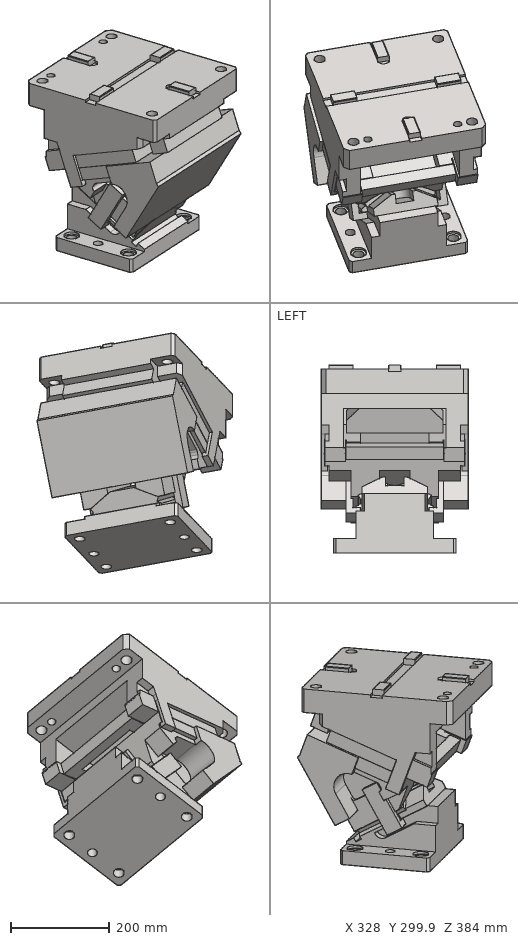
import cadquery as cq
import math


TOTAL_LENGTH = 328.0
TOTAL_HEIGHT = 384.0
PLATE_LENGTH = 320.3
HALF_WIDTH = 149.95

SLIDE_ANGLE = math.radians(20)
SLIDE_ORIGIN = (98.5, 203.0)
RAIL_ANGLE = math.radians(30)
RAIL_ORIGIN = (76.8, 121.7)

KEY_HEIGHT = 8.0
KEY_DEPTH = 5.0
KEY_WIDTH = 25.0
KEY_LENGTH = 49.5
KEY_CHAMFER = 1.5
KEY_INSET_X = 10.8
KEY_INSET_Y = 15.5
KEYWAY_LENGTH = 73.5
PLATE_TOP = TOTAL_HEIGHT - KEY_HEIGHT
PLATE_THICKNESS = 50.3
PLATE_BOTTOM = PLATE_TOP - PLATE_THICKNESS
FRONT_CORNER_CHAMFER = 10.0
REAR_CORNER_CHAMFER = 6.0
PLATE_HOLE_DIAMETER = 22.3
PLATE_HOLE_INSET = 25.0
DOWEL_DIAMETER = 16.5
DOWEL_Y = 95.0

CHEEK_LEFT = 45.7
CHEEK_RIGHT = 283.8
CHEEK_CHAMFER = 9.2
CAVITY_HALF_WIDTH = 104.5
CAVITY_TOP = 295.0
CAVITY_BACK = 172.8
GUIDE_THICKNESS = 30.0
GUIDE_HALF_WIDTH = 143.2
GUIDE_LENGTH = 180.5
GUIDE_SLOT_HALF_WIDTH = 70.0
GUIDE_SLOT_END = 42.0
GUIDE_NOSE_LENGTH = 12.3
CROSS_BLOCK_START = 40.7
CROSS_BLOCK_HALF_WIDTH = 98.5
CROSS_BLOCK_SIDE = 27.0
CROSS_BLOCK_CHAMFER = 27.0
CROSS_BAR_HALF_WIDTH = 99.5
CROSS_BAR_START = 36.5
CROSS_BAR_HEIGHT = 27.5
STOP_INNER = 100.5
STOP_OUTER = 142.5
STOP_LENGTH = 48.0
STOP_HEIGHT = 42.2
STOP_STEP_Z = 215.5
NOTCH_INNER = 134.0
NOTCH_TOP = 261.0
FINGER_INNER = 143.5
FINGER_LENGTH = 30.7
FINGER_TOP = 63.0
FINGER_BOTTOM = -37.5
LIP_INNER = 137.0
REAR_STOP_START = 192.8
REAR_STOP_END = 230.8

FLANGE_HALF_WIDTH = 142.5
FLANGE_THICKNESS = 27.0
SHOULDER_HALF_WIDTH = 134.0
CORE_HALF_WIDTH = 89.5
SLIDE_LENGTH = 221.5
SLIDE_END_HEIGHT = 47.2
RELIEF_DEPTH = 76.8
WING_START = 106.5
WING_END = 164.0
WING_BOTTOM = 58.0
CORE_END = 158.2
CORE_BOTTOM = 21.5
CHANNEL_HALF_WIDTH = 31.0
OPENING_START = 49.5
OPENING_END = 128.5
POCKET_START = 41.0
POCKET_BOTTOM = 78.7
POCKET_TOP = -39.0
POCKET_DEPTH = 9.5
POCKET_RADIUS = 30.5
POCKET_CORNER_RADIUS = 7.5
HOOK_START = 58.0
HOOK_END = 94.0
HOOK_TOP = 93.5
HOOK_BOTTOM = -13.0
HOOK_OUTER = 100.0
HOOK_INNER = 85.5
HOOK_LIP_INNER = 70.0

BASE_LEFT = 55.0
BASE_LENGTH = 190.0
BASE_RIGHT = BASE_LEFT + BASE_LENGTH
BASE_HALF_WIDTH = 125.0
BASE_THICKNESS = 30.0
BASE_CHAMFER = 5.5
BASE_HOLE_INSET = 25.0
BASE_BOLT_DIAMETER = 22.0
BASE_BORE_DIAMETER = 32.0
BASE_BORE_DEPTH = 5.0
BASE_DOWEL_DIAMETER = 20.0
BASE_DOWEL_X = 145.0
BODY_HALF_WIDTH = 79.0
NECK_HALF_WIDTH = 61.5
LEDGE_Z = 86.0
GROOVE_DEPTH = 19.2
GROOVE_END = 124.8
GROOVE_RADIUS = 16.5
RAIL_END = 157.5
RAIL_HALF_WIDTH = 67.2
RAIL_SIDE = 15.5
RAIL_TOP = 38.5
RAIL_FLAT_HALF_WIDTH = 26.5
RAIL_SLOT_WIDTH = 37.0
RAIL_SLOT_FLOOR = 18.5
RAIL_SLOT_LENGTH = 50.5
LINER_START = 43.5
LINER_RISE = 10.0
LINER_HALF_WIDTH = 75.0
V_ROOT_HALF_WIDTH = 70.3
V_ROOT_HEIGHT = 12.3
V_FOOT_HEIGHT = 6.5
V_FOOT_START = 63.5
NOTCH_LENGTH = 13.0
RIDGE_HEIGHT = 9.2


def on_slide(s, p):
    """XZ point at s along and p above the slide plane."""
    c, n = math.cos(SLIDE_ANGLE), math.sin(SLIDE_ANGLE)
    return SLIDE_ORIGIN[0] + s * c - p * n, SLIDE_ORIGIN[1] + s * n + p * c


def on_rail(t, h):
    """XZ point at t down the rail and h above its underside."""
    c, n = math.cos(RAIL_ANGLE), math.sin(RAIL_ANGLE)
    return RAIL_ORIGIN[0] + t * c + h * n, RAIL_ORIGIN[1] - t * n + h * c


def front_at_height(h):
    """XZ point where the front face of the slide (s = 0) is h above the rail underside."""
    run = SLIDE_ORIGIN[0] - RAIL_ORIGIN[0]
    rise = SLIDE_ORIGIN[1] - RAIL_ORIGIN[1]
    start = run * math.sin(RAIL_ANGLE) + rise * math.cos(RAIL_ANGLE)
    return on_slide(0, (h - start) / math.cos(SLIDE_ANGLE + RAIL_ANGLE))


def plane_height_at(x, p):
    """Z at the given X on the plane p above the slide plane."""
    x0, z0 = on_slide(0, p)
    return z0 + (x - x0) * math.tan(SLIDE_ANGLE)


def crossing(p, t):
    """XZ point where the plane p above the slide plane meets the plane t down the rail."""
    x0, z0 = on_rail(t, 0)
    rise = plane_height_at(x0, p) - z0
    slope = math.cos(RAIL_ANGLE) - math.sin(RAIL_ANGLE) * math.tan(SLIDE_ANGLE)
    return on_rail(t, rise / slope)


def prism(points, half_width):
    """XZ outline made symmetric about Y = 0."""
    return cq.Workplane("XZ").polyline(points).close().extrude(half_width, both=True)


def side_prisms(points, inner, outer):
    """XZ outline between two distances from Y = 0, on both sides."""
    side = cq.Workplane("XZ", origin=(0, -inner, 0)).polyline(points).close().extrude(outer - inner)
    return side.union(side.mirror("XZ"))


def slide_box(s0, s1, p0, p1):
    return [on_slide(s0, p0), on_slide(s1, p0), on_slide(s1, p1), on_slide(s0, p1)]


def rail_box(t0, t1, h0, h1):
    return [on_rail(t0, h0), on_rail(t1, h0), on_rail(t1, h1), on_rail(t0, h1)]


def rail_section(half_points, t0, t1):
    """Mirrored (y, h) section drawn square to the rail and run from t0 to t1."""
    x, z = on_rail(t0, 0)
    along = (math.cos(RAIL_ANGLE), 0, -math.sin(RAIL_ANGLE))
    plane = cq.Plane(origin=(x, 0, z), xDir=(0, 1, 0), normal=along)
    points = half_points + [(-y, h) for y, h in reversed(half_points)]
    return cq.Workplane(plane).polyline(points).close().extrude(t1 - t0)


def middle_slab(half_width):
    """Everything within half_width of Y = 0, over the full length and height of the unit."""
    size = (TOTAL_LENGTH, 2 * half_width, TOTAL_HEIGHT)
    return cq.Workplane("XY").box(*size, centered=(False, True, False))


def near(point):
    """Selects the edge nearest to an XZ point."""
    return cq.selectors.NearestToPointSelector((point[0], 0, point[1]))


def key(center_x, center_y, turned):
    size = (KEY_LENGTH, KEY_WIDTH, KEY_HEIGHT + KEY_DEPTH)
    body = cq.Workplane("XY").box(*size, centered=(True, True, False))
    body = body.faces(">Z").edges("|X").chamfer(KEY_CHAMFER)
    if turned:
        body = body.rotate((0, 0, 0), (0, 0, 1), 90)
    return body.translate((center_x, center_y, PLATE_TOP - KEY_DEPTH))


def plate():
    middle = PLATE_LENGTH / 2
    size = (PLATE_LENGTH, 2 * HALF_WIDTH, PLATE_THICKNESS)
    body = cq.Workplane("XY").box(*size, centered=(False, True, False)).translate((0, 0, PLATE_BOTTOM))
    body = body.edges("|Z and <X").chamfer(FRONT_CORNER_CHAMFER)
    body = body.edges("|Z and >X").chamfer(REAR_CORNER_CHAMFER)

    top = cq.Workplane("XY", origin=(0, 0, PLATE_TOP))
    body = body.cut(top.center(middle, 0).rect(KEY_WIDTH, 2 * HALF_WIDTH).extrude(-KEY_DEPTH))
    for x in (0, PLATE_LENGTH):
        body = body.cut(top.center(x, 0).slot2D(2 * KEYWAY_LENGTH, KEY_WIDTH).extrude(-KEY_DEPTH))
    for side in (-1, 1):
        key_x = middle + side * (middle - KEY_INSET_X - KEY_LENGTH / 2)
        key_y = side * (HALF_WIDTH - KEY_INSET_Y - KEY_LENGTH / 2)
        body = body.union(key(key_x, 0, False)).union(key(middle, key_y, True))
    return body


def plate_holes():
    drill = cq.Workplane("XY", origin=(0, 0, PLATE_TOP))
    hole_y = HALF_WIDTH - PLATE_HOLE_INSET
    corners = [
        (x, y) for x in (PLATE_HOLE_INSET, PLATE_LENGTH - PLATE_HOLE_INSET) for y in (-hole_y, hole_y)
    ]
    dowels = [(PLATE_HOLE_INSET, -DOWEL_Y), (PLATE_HOLE_INSET, DOWEL_Y)]
    bolts = drill.pushPoints(corners).circle(PLATE_HOLE_DIAMETER / 2).extrude(-PLATE_THICKNESS)
    return bolts.union(drill.pushPoints(dowels).circle(DOWEL_DIAMETER / 2).extrude(-PLATE_THICKNESS))


def cheeks():
    outline = [
        (CHEEK_LEFT, PLATE_BOTTOM),
        (CHEEK_RIGHT, PLATE_BOTTOM),
        (CHEEK_RIGHT, plane_height_at(CHEEK_RIGHT, GUIDE_THICKNESS)),
        on_slide(0, GUIDE_THICKNESS),
        on_slide(0, STOP_HEIGHT),
        (CHEEK_LEFT, plane_height_at(CHEEK_LEFT, STOP_HEIGHT)),
    ]
    body = prism(outline, HALF_WIDTH).edges("|Z and >X").chamfer(CHEEK_CHAMFER)
    notch = [
        (0, NOTCH_TOP),
        (on_slide(0, FINGER_TOP)[0], NOTCH_TOP),
        on_slide(0, STOP_HEIGHT),
        on_slide(0, 0),
        (0, 0),
    ]
    return body.cut(side_prisms(notch, NOTCH_INNER, HALF_WIDTH))


def cavity():
    """Window between the cheeks, open at the front, with a floor parallel to the slide plane."""
    outline = [
        (0, plane_height_at(0, GUIDE_THICKNESS)),
        (CAVITY_BACK, plane_height_at(CAVITY_BACK, GUIDE_THICKNESS)),
        (CAVITY_BACK, CAVITY_TOP),
        (0, CAVITY_TOP),
    ]
    return prism(outline, CAVITY_HALF_WIDTH)


def guide_plates():
    body = prism(slide_box(0, GUIDE_LENGTH, 0, GUIDE_THICKNESS), GUIDE_HALF_WIDTH)
    nose = slide_box(-GUIDE_NOSE_LENGTH, 0, 0, GUIDE_THICKNESS)
    slot = slide_box(-GUIDE_NOSE_LENGTH, GUIDE_SLOT_END, 0, GUIDE_THICKNESS)
    return body.union(prism(nose, CROSS_BLOCK_HALF_WIDTH)).cut(prism(slot, GUIDE_SLOT_HALF_WIDTH))


def cross_block():
    """Block above the guide plates, with its upper corners cut at 45 degrees."""
    x, z = on_slide(CROSS_BLOCK_START, GUIDE_THICKNESS)
    along = (math.cos(SLIDE_ANGLE), 0, math.sin(SLIDE_ANGLE))
    plane = cq.Plane(origin=(x, 0, z), xDir=(0, 1, 0), normal=along)
    height = CROSS_BLOCK_SIDE + CROSS_BLOCK_CHAMFER
    half = [
        (CROSS_BLOCK_HALF_WIDTH, 0),
        (CROSS_BLOCK_HALF_WIDTH, CROSS_BLOCK_SIDE),
        (CROSS_BLOCK_HALF_WIDTH - CROSS_BLOCK_CHAMFER, height),
    ]
    points = half + [(-y, p) for y, p in reversed(half)]
    return cq.Workplane(plane).polyline(points).close().extrude(GUIDE_LENGTH - CROSS_BLOCK_START)


def front_stops():
    front_x, front_z = on_slide(-STOP_LENGTH, 0)
    step_x = front_x - (STOP_STEP_Z - front_z) * math.tan(SLIDE_ANGLE)
    outline = [
        (front_x, front_z),
        on_slide(0, 0),
        on_slide(0, STOP_HEIGHT),
        (CHEEK_LEFT, plane_height_at(CHEEK_LEFT, STOP_HEIGHT)),
        (CHEEK_LEFT, STOP_STEP_Z),
        (step_x, STOP_STEP_Z),
    ]
    return side_prisms(outline, STOP_INNER, STOP_OUTER)


def cross_bar():
    outline = slide_box(-CROSS_BAR_START, -GUIDE_NOSE_LENGTH, 0, CROSS_BAR_HEIGHT)
    return prism(outline, CROSS_BAR_HALF_WIDTH)


def fingers():
    """Outer fingers whose lips reach under the flanges of the slide."""
    arm = side_prisms(slide_box(0, FINGER_LENGTH, FINGER_BOTTOM, FINGER_TOP), FINGER_INNER, HALF_WIDTH)
    lip = side_prisms(slide_box(0, FINGER_LENGTH, FINGER_BOTTOM, -FLANGE_THICKNESS), LIP_INNER, HALF_WIDTH)
    return arm.union(lip)


def rear_stop():
    stop = prism(slide_box(REAR_STOP_START, REAR_STOP_END, 0, GUIDE_THICKNESS), CROSS_BLOCK_HALF_WIDTH)
    wall_outline = [
        (CHEEK_RIGHT, PLATE_BOTTOM),
        (CHEEK_RIGHT, plane_height_at(CHEEK_RIGHT, GUIDE_THICKNESS)),
        (PLATE_LENGTH, plane_height_at(PLATE_LENGTH, GUIDE_THICKNESS)),
        (PLATE_LENGTH, PLATE_BOTTOM),
    ]
    return stop.union(prism(wall_outline, CROSS_BLOCK_HALF_WIDTH))


def make_holder():
    body = plate().union(cheeks()).union(guide_plates()).union(front_stops()).cut(cavity())
    body = body.union(cross_block()).union(cross_bar()).union(fingers()).union(rear_stop())
    return body.cut(plate_holes())


def groove_section(half_width):
    """Half section of the lined rail roof out to the given half width."""
    slope = (RAIL_TOP - RAIL_SIDE) / (RAIL_HALF_WIDTH - RAIL_FLAT_HALF_WIDTH)
    edge = RAIL_SIDE + LINER_RISE - (half_width - RAIL_HALF_WIDTH) * slope
    return [(half_width, edge), (RAIL_FLAT_HALF_WIDTH, RAIL_TOP + LINER_RISE)]


def slide_outline():
    tip_h = (TOTAL_LENGTH - on_rail(WING_END, 0)[0]) / math.sin(RAIL_ANGLE)
    return [
        on_slide(0, 0),
        on_slide(SLIDE_LENGTH, 0),
        on_slide(SLIDE_LENGTH, -SLIDE_END_HEIGHT),
        on_rail(WING_END, tip_h),
        on_rail(WING_END, WING_BOTTOM),
        front_at_height(WING_BOTTOM),
    ]


def slide_core():
    outline = [
        on_slide(0, 0),
        front_at_height(CORE_BOTTOM),
        on_rail(CORE_END, CORE_BOTTOM),
        on_rail(CORE_END, POCKET_BOTTOM),
    ]
    body = prism(outline, CORE_HALF_WIDTH).union(prism(slide_outline(), CORE_HALF_WIDTH))
    roof = rail_section([(LINER_HALF_WIDTH, 0)] + groove_section(LINER_HALF_WIDTH), 0, WING_END)
    channel = prism(rail_box(0, WING_END, 0, WING_BOTTOM), CHANNEL_HALF_WIDTH)
    return body.cut(roof).cut(channel)


def slide_sides():
    """Shoulders with a top flange, widening into the wings at the rear."""
    body = side_prisms(slide_outline(), CORE_HALF_WIDTH, HALF_WIDTH)
    relief = slide_box(-TOTAL_LENGTH, WING_START, -RELIEF_DEPTH, -FLANGE_THICKNESS)
    flange_side = slide_box(-TOTAL_LENGTH, WING_START, -FLANGE_THICKNESS, 0)
    body = body.cut(side_prisms(relief, SHOULDER_HALF_WIDTH, HALF_WIDTH))
    return body.cut(side_prisms(flange_side, FLANGE_HALF_WIDTH, HALF_WIDTH))


def side_pockets():
    """Rounded pockets in the sides, open downward between shoulder and wing."""
    corners = [
        on_rail(POCKET_START, POCKET_BOTTOM),
        on_rail(OPENING_END, POCKET_BOTTOM),
        crossing(POCKET_TOP, OPENING_END),
        crossing(POCKET_TOP, POCKET_START),
    ]
    pocket = prism(corners, HALF_WIDTH)
    pocket = pocket.edges(near(corners[2])).fillet(POCKET_RADIUS)
    for corner in (corners[0], corners[1], corners[3]):
        pocket = pocket.edges(near(corner)).fillet(POCKET_CORNER_RADIUS)
    floor_half_width = CORE_HALF_WIDTH - POCKET_DEPTH
    opening_top = POCKET_BOTTOM + POCKET_CORNER_RADIUS
    opening = rail_box(OPENING_START, OPENING_END, 0, opening_top)
    return pocket.cut(middle_slab(floor_half_width)).union(side_prisms(opening, CORE_HALF_WIDTH, HALF_WIDTH))


def hooks():
    """Bars on the sides of the slide that reach under the rail."""
    upper = side_prisms(rail_box(HOOK_START, HOOK_END, HOOK_BOTTOM, HOOK_TOP), HOOK_INNER, HOOK_OUTER)
    lip = side_prisms(rail_box(HOOK_START, HOOK_END, HOOK_BOTTOM, 0), HOOK_LIP_INNER, HOOK_OUTER)
    return upper.union(lip)


def make_slide():
    return slide_core().union(slide_sides()).cut(side_pockets()).union(hooks())


def base_plate():
    size = (BASE_LENGTH, 2 * BASE_HALF_WIDTH, BASE_THICKNESS)
    body = cq.Workplane("XY").box(*size, centered=(False, True, False)).translate((BASE_LEFT, 0, 0))
    body = body.edges("|Z").chamfer(BASE_CHAMFER)
    hole_y = BASE_HALF_WIDTH - BASE_HOLE_INSET
    bolt_x = (BASE_LEFT + BASE_HOLE_INSET, BASE_RIGHT - BASE_HOLE_INSET)
    top = cq.Workplane("XY", origin=(0, 0, BASE_THICKNESS))
    bolts = top.pushPoints([(x, y) for x in bolt_x for y in (-hole_y, hole_y)])
    dowels = top.pushPoints([(BASE_DOWEL_X, -hole_y), (BASE_DOWEL_X, hole_y)])
    body = body.cut(bolts.circle(BASE_BOLT_DIAMETER / 2).extrude(-BASE_THICKNESS))
    body = body.cut(bolts.circle(BASE_BORE_DIAMETER / 2).extrude(-BASE_BORE_DEPTH))
    return body.cut(dowels.circle(BASE_DOWEL_DIAMETER / 2).extrude(-BASE_THICKNESS))


def base_body():
    ridge_start = RAIL_END + NOTCH_LENGTH
    ridge_x, ridge_z = on_rail(ridge_start, RIDGE_HEIGHT)
    ridge_end_z = ridge_z - (BASE_RIGHT - ridge_x) * math.tan(RAIL_ANGLE)
    outline = [
        (BASE_LEFT, 0),
        (BASE_LEFT, RAIL_ORIGIN[1]),
        RAIL_ORIGIN,
        on_rail(ridge_start, 0),
        (ridge_x, ridge_z),
        (BASE_RIGHT, ridge_end_z),
        (BASE_RIGHT, 0),
    ]
    return prism(outline, BODY_HALF_WIDTH)


def hook_grooves():
    """Side grooves under the rail, running out over a level ledge at the front."""
    groove_start = (on_rail(0, -GROOVE_DEPTH)[1] - LEDGE_Z) / math.sin(RAIL_ANGLE)
    lower_corner = on_rail(GROOVE_END, -GROOVE_DEPTH)
    outline = [
        (BASE_LEFT, LEDGE_Z),
        on_rail(groove_start, -GROOVE_DEPTH),
        lower_corner,
        on_rail(GROOVE_END, 0),
        RAIL_ORIGIN,
        (BASE_LEFT, RAIL_ORIGIN[1]),
    ]
    groove = prism(outline, BODY_HALF_WIDTH).edges(near(lower_corner)).fillet(GROOVE_RADIUS)
    return groove.cut(middle_slab(NECK_HALF_WIDTH))


def rail():
    plain = [(RAIL_HALF_WIDTH, 0), (RAIL_HALF_WIDTH, RAIL_SIDE), (RAIL_FLAT_HALF_WIDTH, RAIL_TOP)]
    root = [(V_ROOT_HALF_WIDTH, V_ROOT_HEIGHT)]
    foot = [(BODY_HALF_WIDTH, 0), (BODY_HALF_WIDTH, V_FOOT_HEIGHT), (V_ROOT_HALF_WIDTH, V_ROOT_HEIGHT)]
    body = rail_section(plain, 0, RAIL_END)
    body = body.union(rail_section(root + groove_section(LINER_HALF_WIDTH), LINER_START, RAIL_END))
    return body.union(rail_section(foot, V_FOOT_START, RAIL_END))


def rail_slot():
    """Round-ended slot in the upper end of the rail."""
    x, z = on_rail(0, RAIL_SLOT_FLOOR)
    square = (math.sin(RAIL_ANGLE), 0, math.cos(RAIL_ANGLE))
    along = (math.cos(RAIL_ANGLE), 0, -math.sin(RAIL_ANGLE))
    plane = cq.Plane(origin=(x, 0, z), xDir=along, normal=square)
    return cq.Workplane(plane).slot2D(2 * RAIL_SLOT_LENGTH, RAIL_SLOT_WIDTH).extrude(RAIL_TOP)


def make_base():
    return base_plate().union(base_body()).cut(hook_grooves()).union(rail()).cut(rail_slot())


holder = make_holder()
slide = make_slide()
base = make_base()

result = cq.Compound.makeCompound([holder.val(), slide.val(), base.val()])